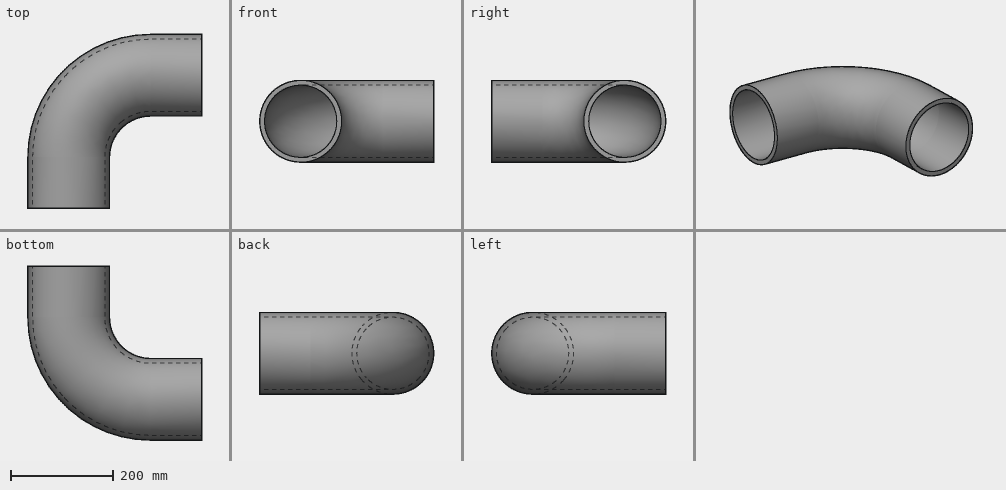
import cadquery as cq
import math

overall_length = 340.0
outer_diameter = 160.0
wall_thickness = 9.5

outer_radius = outer_diameter / 2
inner_radius = outer_radius - wall_thickness
bend_radius = outer_diameter
leg_length = overall_length - bend_radius - outer_radius

leg_end = bend_radius + leg_length
mid_bend = bend_radius * (1 - math.sqrt(0.5))
centreline = (
    cq.Workplane("XY")
    .moveTo(0, -leg_end)
    .lineTo(0, -bend_radius)
    .threePointArc((mid_bend, -mid_bend), (bend_radius, 0))
    .lineTo(leg_end, 0)
)

result = (
    cq.Workplane("XZ", origin=(0, -leg_end, 0))
    .circle(outer_radius)
    .circle(inner_radius)
    .sweep(centreline)
)